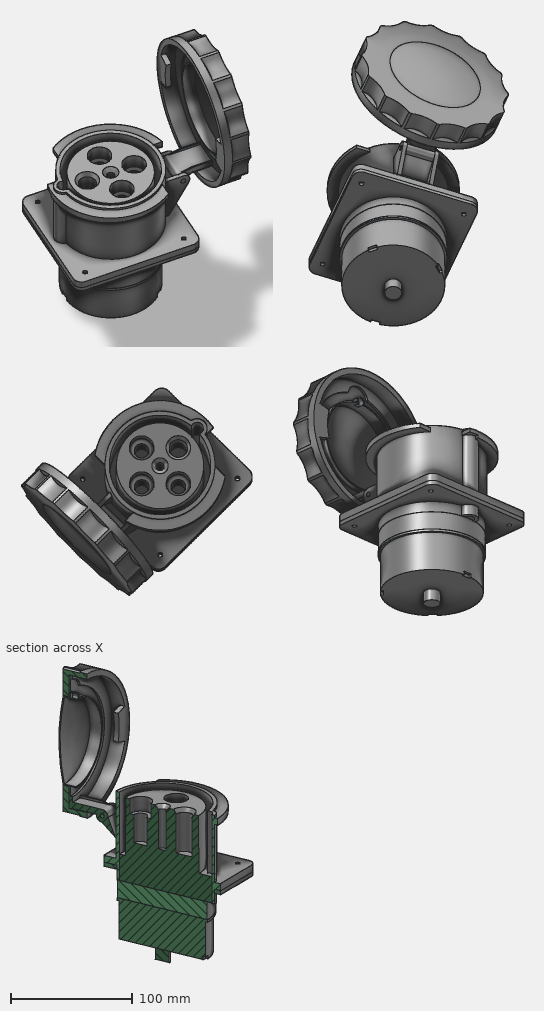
import cadquery as cq
import math


OVERALL_HEIGHT = 240.0
CAP_BOTTOM = 10.0
LIP_BOTTOM = 44.5
REAR_RING_BOTTOM = 46.5
HOUSING_BOTTOM = 62.5
GASKET_BOTTOM = 71.8
FLANGE_BOTTOM = 75.4
FLANGE_TOP = 81.8
LUG_TOP = 139.5
RIM_TOP = 141.5
CARRIER_TOP = 138.0

HOUSING_R = 45.4
HOUSING_LOWER_R = 44.5
BORE_R = 41.8
KEY_Y = -43.5
KEY_OUTER_R = 8.2
KEY_INNER_R = 5.0
FLANGE_X = 110.0
FLANGE_Y = 114.2
FLANGE_CORNER_R = 8.0
SCREW_SPACING = 90.2
SCREW_HOLE_R = 2.0

LUG_R = 54.5
LUG_START_Y = 31.7
LUG_TIP_X = 8.6
LUG_TIP_THICKNESS = 3.5
RAMP_THIN = 3.8
RAMP_THICK = 6.2

HINGE_Y = 58.8
HINGE_Z = 116.5
EYE_R = 6.0
PIN_R = 2.2
EAR_GAP = 24.5
EAR_THICKNESS = 3.5
EAR_FOOT_Y = 45.5

CARRIER_R = 36.0
CARRIER_FOOT_R = 36.5
CARRIER_BASE_TOP = 86.5
CONTACT_CIRCLE_R = 21.4
CONTACT_ANGLES = (0, 90, 180)
CONTACT_R = 10.0
CONTACT_DEPTH = 13.2
CONTACT_BORE_R = 6.0
EARTH_BORE_R = 7.5
EARTH_CONE_DEPTH = 3.5
BORE_DEPTH = 38.5
CENTRE_R = 6.7
CENTRE_BORE_R = 3.4
CENTRE_CONE_DEPTH = 3.5

REAR_RING_R = 44.2
CAP_LIP_R = 44.5
CAP_R = 42.5
STUB_R = 7.0
NOTCH_WIDTH = 7.7
NOTCH_HEIGHT = 3.0
NOTCH_DEPTH = 2.5
NOTCH_ANGLES = (45, 135, 270)

RING_R = 64.5
LID_Z = OVERALL_HEIGHT - RING_R
RING_FRONT_Y = 73.2
SCALLOP_FRONT_Y = 80.5
RING_BACK_Y = 97.2
RING_INNER_R = 59.3
RING_FLOOR_Y = 91.2
RING_LUG_INNER_R = 48.7
RING_LUG_HALF_ANGLE = 15.3
RING_LUG_BACK_Y = 78.0
SCALLOPS = 16
SCALLOP_TURN = 2.5
LAND_WIDTH = 2.5
SCALLOP_R = 28.8
SCALLOP_END_LENGTH = 32.5

COVER_FRONT_Y = 87.4
RECESS_R = 48.2
RECESS_DEPTH = 2.2
CUP_R = 39.8
CUP_INNER_R = 38.6
CUP_FRONT_Y = 84.2
DOME_HEIGHT = 4.3
DOME_THICKNESS = 1.7
LOBE_R = 11.5
LOBE_OFFSET = 44.6
LIP_KEY_R = 4.3
LIP_KEY_OFFSET = 40.8

ARM_TOP_Z = 124.5
ARM_WALL = 1.2
ARM_WALL_BOTTOM_Z = 119.3
ARM_BEND_Y = 69.0
TAIL_TIP_Z = 99.5


def cylinder(radius, bottom, top):
    """Cylinder on the socket axis."""
    return cq.Workplane("XY").workplane(offset=bottom).circle(radius).extrude(top - bottom)


def lid_disc(radius, front, back):
    """Cylinder on the lid axis between two Y positions."""
    return cq.Workplane("XZ", origin=(0, front, LID_Z)).circle(radius).extrude(front - back)


def lid_post(radius, offset, front, back):
    """Cylinder parallel to the lid axis, moved up from it by an offset."""
    return lid_disc(radius, front, back).translate((0, 0, offset))


def box(x0, x1, y0, y1, z0, z1):
    """Box between two corners."""
    return cq.Workplane("XY").box(x1 - x0, y1 - y0, z1 - z0, centered=False).translate((x0, y0, z0))


def side_profile(points, half_width):
    """Closed outline in the YZ plane, extruded to both sides of X = 0."""
    return cq.Workplane("YZ").polyline(points).close().extrude(half_width, both=True)


def key_post(radius, bottom, top):
    """Round post along the keyway line."""
    return cylinder(radius, bottom, top).translate((0, KEY_Y, 0))


def flange_plate(bottom, top):
    """Rounded rectangular plate with four screw holes."""
    plate = cq.Workplane("XY").workplane(offset=bottom).rect(FLANGE_X, FLANGE_Y).extrude(top - bottom)
    plate = plate.edges("|Z").fillet(FLANGE_CORNER_R)
    plate = plate.faces(">Z").workplane(origin=(0, 0, top))
    return plate.rect(SCREW_SPACING, SCREW_SPACING, forConstruction=True).vertices().hole(2 * SCREW_HOLE_R)


def bayonet_lug():
    """Lug on the +X side, ending in a thin tip beyond the keyway at -Y."""
    ring_bottom = LUG_TOP - RAMP_THICK
    ring = cylinder(LUG_R, ring_bottom, LUG_TOP).cut(cylinder(BORE_R, ring_bottom, LUG_TOP))
    lug = ring.intersect(box(0, LUG_R, -LUG_R, LUG_START_Y, ring_bottom, LUG_TOP))
    ramp = [
        (LUG_START_Y, LUG_TOP),
        (LUG_START_Y, LUG_TOP - RAMP_THIN),
        (-LUG_R, LUG_TOP - RAMP_THICK),
        (-LUG_R, LUG_TOP),
    ]
    lug = lug.intersect(side_profile(ramp, LUG_R))
    tip = ring.intersect(box(-LUG_TIP_X, 0, -LUG_R, 0, LUG_TOP - LUG_TIP_THICKNESS, LUG_TOP))
    return lug.union(tip)


def hinge_ears():
    """Two triangular ears with a round eye about the hinge axis."""
    half_outer = EAR_GAP / 2 + EAR_THICKNESS
    run = HINGE_Y - EAR_FOOT_Y
    rise = HINGE_Z - FLANGE_TOP
    tangent_angle = math.atan2(-rise, -run) + math.acos(EYE_R / math.hypot(run, rise))
    touch = (HINGE_Y + EYE_R * math.cos(tangent_angle), HINGE_Z + EYE_R * math.sin(tangent_angle))
    outline = [
        (BORE_R, FLANGE_TOP),
        (EAR_FOOT_Y, FLANGE_TOP),
        touch,
        (HINGE_Y, HINGE_Z),
        (HINGE_Y, HINGE_Z + EYE_R),
        (BORE_R, HINGE_Z + EYE_R),
    ]
    ears = side_profile(outline, half_outer)
    eye = cq.Workplane("YZ").center(HINGE_Y, HINGE_Z).circle(EYE_R).extrude(half_outer, both=True)
    return ears.union(eye)


def hinge_pin():
    half_length = EAR_GAP / 2 + EAR_THICKNESS
    return cq.Workplane("YZ").center(HINGE_Y, HINGE_Z).circle(PIN_R).extrude(half_length, both=True)


def housing_outline():
    """Solid barrel with the keyway bulge."""
    barrel = cylinder(HOUSING_R, FLANGE_BOTTOM, RIM_TOP)
    barrel = barrel.union(cylinder(HOUSING_LOWER_R, HOUSING_BOTTOM, FLANGE_BOTTOM))
    return barrel.union(key_post(KEY_OUTER_R, HOUSING_BOTTOM, RIM_TOP))


def make_housing():
    lug = bayonet_lug()
    fittings = hinge_ears().union(lug).union(lug.rotate((0, 0, 0), (0, 0, 1), 180))
    half_gap = EAR_GAP / 2
    fittings = fittings.cut(box(-half_gap, half_gap, 0, HINGE_Y + 2 * EYE_R, FLANGE_TOP, RIM_TOP))
    housing = housing_outline().union(flange_plate(FLANGE_BOTTOM, FLANGE_TOP)).union(fittings)
    housing = housing.cut(cylinder(BORE_R, HOUSING_BOTTOM, RIM_TOP))
    housing = housing.cut(key_post(KEY_INNER_R, HOUSING_BOTTOM, RIM_TOP))
    return housing.cut(hinge_pin())


def make_gasket():
    return flange_plate(GASKET_BOTTOM, FLANGE_BOTTOM).cut(housing_outline())


def lead_in(wide_r, narrow_r, depth, x, y):
    """Conical mouth in the carrier face."""
    cone = cq.Solid.makeCone(narrow_r, wide_r, depth, pnt=(x, y, CARRIER_TOP - depth))
    return cq.Workplane(cone)


def make_carrier():
    """Drafted core on a base that fills the housing bore and keyway."""
    height = CARRIER_TOP - CARRIER_BASE_TOP
    core = cq.Workplane(cq.Solid.makeCone(CARRIER_FOOT_R, CARRIER_R, height, pnt=(0, 0, CARRIER_BASE_TOP)))
    carrier = core.union(cylinder(BORE_R, HOUSING_BOTTOM, CARRIER_BASE_TOP))
    carrier = carrier.union(key_post(KEY_INNER_R, HOUSING_BOTTOM, CARRIER_BASE_TOP))
    bore_bottom = CARRIER_TOP - BORE_DEPTH
    for angle in CONTACT_ANGLES:
        x = CONTACT_CIRCLE_R * math.cos(math.radians(angle))
        y = CONTACT_CIRCLE_R * math.sin(math.radians(angle))
        well = cylinder(CONTACT_R, CARRIER_TOP - CONTACT_DEPTH, CARRIER_TOP)
        well = well.union(cylinder(CONTACT_BORE_R, bore_bottom, CARRIER_TOP))
        carrier = carrier.cut(well.translate((x, y, 0)))
    earth_y = -CONTACT_CIRCLE_R
    earth_bore = cylinder(EARTH_BORE_R, bore_bottom, CARRIER_TOP).translate((0, earth_y, 0))
    carrier = carrier.cut(earth_bore).cut(lead_in(CONTACT_R, EARTH_BORE_R, EARTH_CONE_DEPTH, 0, earth_y))
    carrier = carrier.cut(cylinder(CENTRE_BORE_R, bore_bottom, CARRIER_TOP))
    return carrier.cut(lead_in(CENTRE_R, CENTRE_BORE_R, CENTRE_CONE_DEPTH, 0, 0))


def make_cap():
    """Rear cap with a lip at its front edge and notches in its rear edge."""
    cap = cylinder(CAP_R, CAP_BOTTOM, LIP_BOTTOM)
    cap = cap.union(cylinder(CAP_LIP_R, LIP_BOTTOM, REAR_RING_BOTTOM))
    half = NOTCH_WIDTH / 2
    notch = box(CAP_R - NOTCH_DEPTH, CAP_LIP_R, -half, half, CAP_BOTTOM, CAP_BOTTOM + NOTCH_HEIGHT)
    for angle in NOTCH_ANGLES:
        cap = cap.cut(notch.rotate((0, 0, 0), (0, 0, 1), angle))
    return cap


def ring_lugs():
    """Two inward bayonet lugs on the clamp ring, at +X and -X."""
    lugs = lid_disc(RING_R, RING_FRONT_Y, RING_LUG_BACK_Y)
    lugs = lugs.cut(lid_disc(RING_LUG_INNER_R, RING_FRONT_Y, RING_LUG_BACK_Y))
    rise = RING_R * math.tan(math.radians(RING_LUG_HALF_ANGLE))
    bow_tie = cq.Workplane("XZ", origin=(0, RING_FRONT_Y, LID_Z))
    for side in (1, -1):
        bow_tie = bow_tie.polyline([(0, 0), (side * RING_R, rise), (side * RING_R, -rise)]).close()
    return lugs.intersect(bow_tie.extrude(RING_FRONT_Y - RING_LUG_BACK_Y))


def make_clamp_ring():
    """Grip ring with scallops round its rear part."""
    ring = lid_disc(RING_R, RING_FRONT_Y, RING_BACK_Y)
    ring = ring.cut(lid_disc(RING_INNER_R, RING_FRONT_Y, RING_FLOOR_Y))
    ring = ring.cut(lid_disc(CUP_R, RING_FLOOR_Y, RING_BACK_Y))
    pitch = 360 / SCALLOPS
    half_chord = RING_R * math.sin(math.radians(pitch / 2)) - LAND_WIDTH / 2
    chord_distance = math.sqrt(RING_R**2 - half_chord**2)
    scallop_offset = chord_distance + math.sqrt(SCALLOP_R**2 - half_chord**2)
    scallop = lid_post(SCALLOP_R, scallop_offset, SCALLOP_FRONT_Y, RING_BACK_Y)
    end_cone = cq.Solid.makeCone(
        RING_R, 0, SCALLOP_END_LENGTH, pnt=(0, SCALLOP_FRONT_Y, LID_Z), dir=(0, 1, 0)
    )
    scallop = scallop.cut(cq.Workplane(end_cone))
    for i in range(SCALLOPS):
        turn = SCALLOP_TURN + (i + 0.5) * pitch
        ring = ring.cut(scallop.rotate((0, 0, LID_Z), (0, 1, LID_Z), turn))
    return ring.union(ring_lugs())


def dome(radius, base_y, height):
    """Shallow spherical cap on the lid axis, bulging toward +Y."""
    sphere_r = (radius**2 + height**2) / (2 * height)
    sphere = cq.Workplane("XY").sphere(sphere_r).translate((0, base_y + height - sphere_r, LID_Z))
    return sphere.intersect(lid_disc(radius, base_y, base_y + 2 * height))


def arm():
    """Channel-shaped arm with a barrel round the hinge axis and a tapering tail."""
    half = EAR_GAP / 2
    inner_half = half - ARM_WALL
    barrel_top = HINGE_Z + EYE_R
    bar = side_profile(
        [
            (COVER_FRONT_Y, ARM_TOP_Z),
            (ARM_BEND_Y, ARM_TOP_Z),
            (HINGE_Y, barrel_top),
            (HINGE_Y, HINGE_Z),
            (HINGE_Y + EYE_R, HINGE_Z),
            (ARM_BEND_Y, ARM_WALL_BOTTOM_Z),
            (COVER_FRONT_Y, ARM_WALL_BOTTOM_Z),
        ],
        half,
    )
    keel = box(-inner_half, inner_half, HINGE_Y, COVER_FRONT_Y, HINGE_Z, ARM_WALL_BOTTOM_Z)
    keel = keel.intersect(lid_disc(RING_INNER_R, HINGE_Y, COVER_FRONT_Y))
    barrel = cq.Workplane("YZ").center(HINGE_Y, HINGE_Z).circle(EYE_R).extrude(half, both=True)
    tail = side_profile(
        [(HINGE_Y - EYE_R, HINGE_Z), (HOUSING_R, TAIL_TIP_Z), (HINGE_Y, HINGE_Z - EYE_R)],
        half,
    )
    channel = box(-inner_half, inner_half, HINGE_Y, COVER_FRONT_Y, barrel_top, ARM_TOP_Z)
    return bar.union(keel).union(barrel).union(tail).cut(channel)


def make_cover():
    """Domed cup in a flat disc that fills the clamp ring, with a sealing recess and the hinge arm."""
    recess_floor_y = COVER_FRONT_Y + RECESS_DEPTH
    recess = lid_disc(RECESS_R, COVER_FRONT_Y, recess_floor_y)
    recess = recess.union(lid_post(LOBE_R, LOBE_OFFSET, COVER_FRONT_Y, recess_floor_y))
    cover = lid_disc(RING_INNER_R, COVER_FRONT_Y, RING_FLOOR_Y).cut(recess)

    cup_wall = CUP_R - CUP_INNER_R
    inner_base_y = RING_BACK_Y - DOME_THICKNESS
    cover = cover.union(lid_disc(CUP_R, CUP_FRONT_Y, RING_BACK_Y))
    cover = cover.union(lid_post(LIP_KEY_R, LIP_KEY_OFFSET, CUP_FRONT_Y, recess_floor_y))
    cover = cover.union(dome(CUP_R, RING_BACK_Y, DOME_HEIGHT))
    cover = cover.cut(lid_disc(CUP_INNER_R, CUP_FRONT_Y, inner_base_y))
    cover = cover.cut(dome(CUP_INNER_R, inner_base_y, DOME_HEIGHT))
    cover = cover.cut(lid_post(LIP_KEY_R - cup_wall, LIP_KEY_OFFSET, CUP_FRONT_Y, recess_floor_y))
    return cover.union(arm()).cut(hinge_pin())


housing = make_housing()
gasket = make_gasket()
carrier = make_carrier()
rear_ring = cylinder(REAR_RING_R, REAR_RING_BOTTOM, HOUSING_BOTTOM)
cap = make_cap()
stub = cylinder(STUB_R, 0, CAP_BOTTOM)
pin = hinge_pin()
clamp_ring = make_clamp_ring()
cover = make_cover()

bodies = [housing, gasket, carrier, rear_ring, cap, stub, pin, clamp_ring, cover]
result = cq.Compound.makeCompound([body.solids().val() for body in bodies])